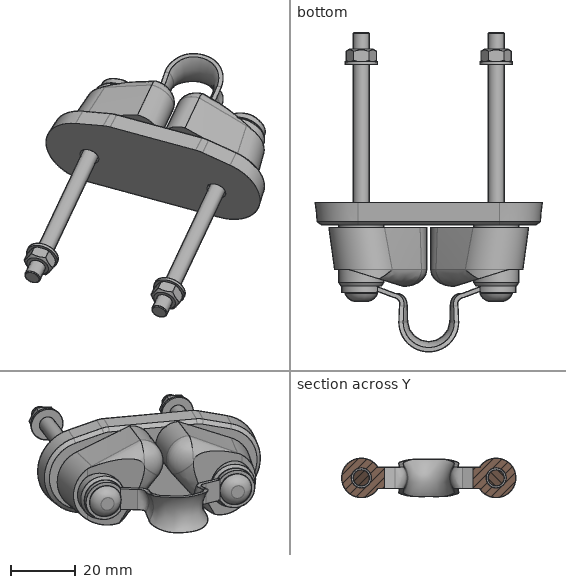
import cadquery as cq
import math


bolt_u = 20.7
bolt_hole_d = 6.1

plate_length = 70.0
plate_z_low = -12.1
plate_z_high = 16.5
plate_end_r = 13.2
plate_shoulder_tilt = 15
plate_shoulder_blend_r = 8.85
plate_draft = 6
plate_side_h = 5.9
plate_bevel_h = 1.0
plate_bevel_draft = 54
plate_h = plate_side_h + plate_bevel_h

boss_d = 14.0
boss_top = 25.8
boss_bevel_in = 0.8
boss_bevel_h = 1.2

cam_gap = 0.8
cam_bottom = plate_h + cam_gap
cam_top = 20.65
cam_back_r = 10.0
cam_back_lean = 1.8
nose_r = 7.2
nose_tip_u = 0.6
nose_u = nose_tip_u + nose_r
ridge_z = 16.2
nose_z = ridge_z - nose_r
hump_h = 5.2
ramp_foot_u = 24.6

tab_r = 6.1
tab_flat = 4.9
tab_h = 2.0
tab_top = boss_top + tab_h

eye_y = 36.8
eye_outer_r = 9.2
strap_t = 1.4
dish_ratio = 0.33
bend_dish_ratio = 0.2
flat_dish_ratio = 0.01
arch_steps = 8
leg_foot_y = 31.9
leg_foot_half_w = 3.3
bend_at = (8.8, 29.7)
bend_angle = 40
strap_start_at = (10.6, 28.6)
strap_end_at = (16.3, 26.45)
strap_angle = 71
leg_toe_in = 0.2
eye_half_w = 5.8
eye_flare = 0.2

shank_d = 5.0
shank_end = -52.3
shank_chamfer = 0.3
head_d = 10.0
head_flat_d = 4.1
head_lip_h = 0.3
head_dome_h = 2.5
head_bulge = (4.2, 1.3)
flange_d = 10.0
flange_top = -42.4
flange_t = 1.0
nut_flats = 8.2
nut_h = 3.9
nut_face_d = 7.1
nut_bevel_h = 0.8
nut_seat_d = 8.5
nut_seat_bevel_h = 0.4
nut_sides = 6


def level(y):
    """Workplane at height y along Y, with local axes (u, Z)."""
    return cq.Workplane(cq.Plane((0, y, 0), (-1, 0, 0), (0, 1, 0)))


def side_profile():
    """Workplane at Z = 0 with local axes (u, Y)."""
    return cq.Workplane(cq.Plane((0, 0, 0), (-1, 0, 0), (0, 0, -1)))


def polar(centre, radius, angle):
    return (centre[0] + radius * math.cos(angle), centre[1] + radius * math.sin(angle))


def tangent_angle(centre_a, radius_a, centre_b, radius_b, side):
    """Direction of the common normal of the outer tangent line of two circles."""
    du = centre_b[0] - centre_a[0]
    dz = centre_b[1] - centre_a[1]
    spread = math.acos((radius_a - radius_b) / math.hypot(du, dz))
    return math.atan2(dz, du) + side * spread


def both_sides(left):
    return left.union(left.mirror("YZ"))


def base_plate():
    tilt = math.radians(plate_shoulder_tilt)
    end = (plate_length / 2 - plate_end_r, plate_z_low + plate_end_r)
    end_top = polar(end, plate_end_r, math.pi / 2 - tilt)
    end_mid = polar(end, plate_end_r, -tilt / 2)
    corner_u = end_top[0] - (plate_z_high - end_top[1]) / math.tan(tilt)
    blend = plate_shoulder_blend_r * math.tan(tilt / 2)
    flat_u = corner_u - blend
    blend_centre = (flat_u, plate_z_high - plate_shoulder_blend_r)
    blend_mid = polar(blend_centre, plate_shoulder_blend_r, math.pi / 2 - tilt / 2)
    blend_end = polar(blend_centre, plate_shoulder_blend_r, math.pi / 2 - tilt)

    def flip(point):
        return (-point[0], point[1])

    outline = (
        level(0)
        .moveTo(-end[0], plate_z_low)
        .lineTo(end[0], plate_z_low)
        .threePointArc(end_mid, end_top)
        .lineTo(*blend_end)
        .threePointArc(blend_mid, (flat_u, plate_z_high))
        .lineTo(-flat_u, plate_z_high)
        .threePointArc(flip(blend_mid), flip(blend_end))
        .lineTo(*flip(end_top))
        .threePointArc(flip(end_mid), flip((end[0], plate_z_low)))
        .close()
    )
    sides = outline.extrude(plate_side_h, taper=plate_draft)
    bevel = sides.faces(">Y").wires().toPending().extrude(
        plate_bevel_h, combine=False, taper=plate_bevel_draft)
    return sides.union(bevel)


ridge = (nose_u, ridge_z)
nose = (nose_u, nose_z)


def cam_outline(y, back):
    """Teardrop around a back arc, a slanted front face and a round nose."""
    front = tangent_angle(back, cam_back_r, ridge, 0, -1)
    rear = tangent_angle(back, cam_back_r, nose, nose_r, 1)
    back_mid = (front + rear) / 2 - math.pi
    nose_mid = (rear + math.pi / 2) / 2
    return (
        level(y)
        .moveTo(*ridge)
        .lineTo(*polar(back, cam_back_r, front))
        .threePointArc(polar(back, cam_back_r, back_mid), polar(back, cam_back_r, rear))
        .lineTo(*polar(nose, nose_r, rear))
        .threePointArc(polar(nose, nose_r, nose_mid), ridge)
        .close()
    )


def nose_dome():
    """Flattened dome on the nose axis."""
    return (
        side_profile()
        .moveTo(nose_u, cam_top)
        .lineTo(nose_u, cam_top + hump_h)
        .ellipseArc(nose_r, hump_h, 90, 180, startAtCurrent=True)
        .close()
        .revolve(360, (nose_u, 0), (nose_u, 1))
        .translate((0, 0, nose_z))
    )


def rounded_bar(angle, depth, start, end):
    """Bar through the nose axis, rounded by a quarter ellipse on the side that faces angle."""
    across = (-math.cos(angle), 0, math.sin(angle))
    along = (-math.sin(angle), 0, -math.cos(angle))
    plane = cq.Plane((-nose_u, cam_top, nose_z), across, along)
    return (
        cq.Workplane(plane)
        .workplane(offset=start)
        .lineTo(depth, 0)
        .ellipseArc(depth, hump_h, 0, 90, startAtCurrent=True)
        .close()
        .extrude(end - start)
    )


def cam_hump(back):
    """Raised nose: a dome at the tip that runs out along both faces and down a ramp."""
    hump_top = cam_top + hump_h
    reach = plate_length / 2
    front = tangent_angle(back, cam_back_r, ridge, 0, -1)
    rear = tangent_angle(back, cam_back_r, nose, nose_r, 1)
    behind_ridge = level(cam_top).center(nose_u + reach, 0).rect(2 * reach, 4 * reach).extrude(hump_h)
    front_bar = rounded_bar(front, nose_r * math.sin(front), -nose_r, reach).intersect(behind_ridge)
    rear_bar = rounded_bar(rear, nose_r, -reach, 0)
    core = (
        level(cam_top)
        .polyline([nose, polar(nose, reach, front - math.pi / 2), polar(nose, reach, rear + math.pi / 2)])
        .close()
        .extrude(hump_h)
    )
    ramp = (
        side_profile()
        .polyline([(0, cam_top), (ramp_foot_u, cam_top), (nose_u, hump_top), (0, hump_top)])
        .close()
        .extrude(reach, both=True)
    )
    crown = nose_dome().cut(behind_ridge).union(core).union(front_bar).union(rear_bar)
    return crown.intersect(ramp).intersect(cam_outline(cam_top, back).extrude(hump_h))


def cam():
    back_low = (bolt_u, 0)
    back_high = (bolt_u - cam_back_lean, 0)
    bottom = cam_outline(cam_bottom, back_low).val()
    top = cam_outline(cam_top, back_high).val()
    body = cq.Workplane(cq.Solid.makeLoft([bottom, top], True))
    return body.union(cam_hump(back_high))


def boss():
    radius = boss_d / 2
    return (
        side_profile()
        .moveTo(0, plate_h)
        .lineTo(radius, plate_h)
        .lineTo(radius, boss_top - boss_bevel_h)
        .lineTo(radius - boss_bevel_in, boss_top)
        .lineTo(0, boss_top)
        .close()
        .revolve(360, (0, 0), (0, 1))
        .translate((-bolt_u, 0, 0))
    )


def strap_tab():
    disc = level(boss_top).center(bolt_u, 0).circle(tab_r).extrude(tab_h)
    keep = level(boss_top).center(bolt_u + tab_r - tab_flat, 0)
    return disc.intersect(keep.rect(2 * tab_r, 2 * tab_r).extrude(tab_h))


def strap_section(u, y, angle, dish_share=dish_ratio):
    """Section of the strap; angle is the direction of its outer side in (u, Y)."""
    half_w = leg_foot_half_w + eye_flare * max(y - leg_foot_y, 0)
    half_w = min(half_w, eye_half_w)
    dish = dish_share * half_w

    def at(offset, z):
        du = offset * math.cos(angle)
        dy = offset * math.sin(angle)
        return cq.Vector(-(u + du), y + dy, z)

    outer = strap_t / 2
    inner = -strap_t / 2
    edges = [
        cq.Edge.makeThreePointArc(at(outer, half_w), at(outer - dish, 0), at(outer, -half_w)),
        cq.Edge.makeLine(at(outer, -half_w), at(inner, -half_w)),
        cq.Edge.makeThreePointArc(at(inner, -half_w), at(inner - dish, 0), at(inner, half_w)),
        cq.Edge.makeLine(at(inner, half_w), at(outer, half_w)),
    ]
    return cq.Wire.assembleEdges(edges)


eye_mid_r = eye_outer_r - strap_t / 2


def arch_section(angle):
    u, y = polar((0, eye_y), eye_mid_r, angle)
    return strap_section(u, y, angle)


def arch():
    return cq.Workplane(cq.Solid.makeLoft(
        [arch_section(math.pi * step / arch_steps) for step in range(arch_steps + 1)], False))


def leg():
    """Straight leg, bend and sloping strap of the left side."""
    foot = strap_section(eye_mid_r - leg_toe_in, leg_foot_y, 0)
    bend = strap_section(*bend_at, math.radians(bend_angle), bend_dish_ratio)
    strap_start = strap_section(*strap_start_at, math.radians(strap_angle), flat_dish_ratio)
    strap_end = strap_section(*strap_end_at, math.radians(strap_angle), flat_dish_ratio)
    straight = cq.Workplane(cq.Solid.makeLoft([arch_section(0), foot], True))
    curve = cq.Workplane(cq.Solid.makeLoft([foot, bend, strap_start], False))
    slope = cq.Workplane(cq.Solid.makeLoft([strap_start, strap_end], True))
    return straight.union(curve).union(slope)


half = cam().union(boss()).union(strap_tab()).union(leg())
cleat = base_plate().union(both_sides(half)).union(arch())
for u in (-bolt_u, bolt_u):
    cleat = cleat.cut(level(0).center(u, 0).circle(bolt_hole_d / 2).extrude(tab_top))


def bolt(u):
    r = shank_d / 2
    dome_foot = tab_top + head_lip_h
    dome_top = dome_foot + head_dome_h
    bulge_r, bulge_h = head_bulge
    shank = (
        side_profile()
        .moveTo(0, shank_end)
        .lineTo(r - shank_chamfer, shank_end)
        .lineTo(r, shank_end + shank_chamfer)
        .lineTo(r, tab_top)
        .lineTo(head_d / 2, tab_top)
        .lineTo(head_d / 2, dome_foot)
        .threePointArc((bulge_r, dome_foot + bulge_h), (head_flat_d / 2, dome_top))
        .lineTo(0, dome_top)
        .close()
        .revolve(360, (0, 0), (0, 1))
    )
    nut_top = flange_top - flange_t
    nut_bottom = nut_top - nut_h
    corner_d = nut_flats / math.cos(math.pi / nut_sides)
    hexagon = level(nut_bottom).polygon(nut_sides, corner_d).extrude(nut_h)
    cone = (
        side_profile()
        .moveTo(0, nut_bottom)
        .lineTo(nut_face_d / 2, nut_bottom)
        .lineTo(corner_d / 2, nut_bottom + nut_bevel_h)
        .lineTo(corner_d / 2, nut_top - nut_seat_bevel_h)
        .lineTo(nut_seat_d / 2, nut_top)
        .lineTo(0, nut_top)
        .close()
        .revolve(360, (0, 0), (0, 1))
    )
    flange = level(nut_top).circle(flange_d / 2).extrude(flange_t)
    body = shank.union(hexagon.intersect(cone)).union(flange)
    return body.translate((-u, 0, 0))


bolts = [bolt(u) for u in (-bolt_u, bolt_u)]

result = cq.Compound.makeCompound([cleat.solids().val(), *[b.solids().val() for b in bolts]])